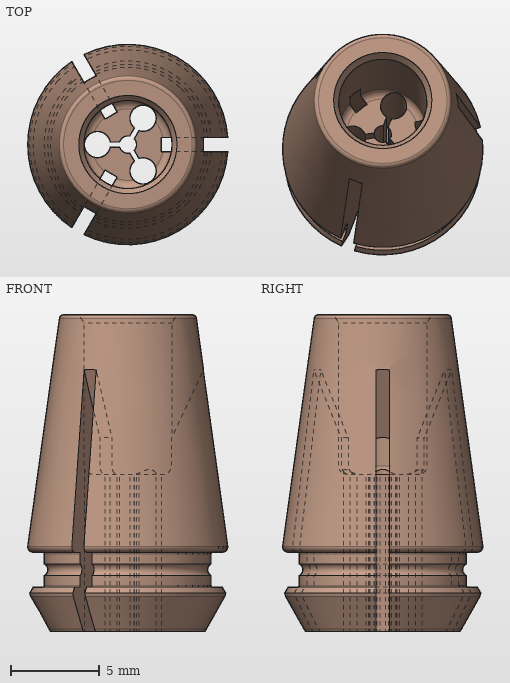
import cadquery as cq
import math

height = 18.0
tip_radius = 4.4
tip_chamfer_radius = 4.48
tip_chamfer_height = 0.15
nose_radius = 5.58
nose_cone_top_radius = 5.53
nose_cone_height = 2.0
nose_height = 2.18
collar_top_radius = 5.38
collar_top = 2.52

neck_radius = 4.75
neck_top = 4.5
neck_corner_fillet = 0.09
groove_width = 0.67
groove_depth = 0.2
groove_center = (collar_top + neck_top) / 2

body_radius = 11.4 / 2
body_edge_fillet = 0.32
taper_start = neck_top + body_edge_fillet
top_radius = 3.87
top_fillet = 0.25

bore_radius = 5.0 / 2
bore_floor = 8.93
bore_floor_fillet = 0.47
mouth_chamfer_width = 0.29
mouth_chamfer_depth = 0.47

segment_count = 3
segment_angle = 360 / segment_count
slot_width = 0.8
slot_inner_radius = 1.9
slot_outer_radius = body_radius + 0.18
slot_top = 14.89
taper_slope = (body_radius - top_radius) / (height - taper_start)
slot_top_radius = top_radius + taper_slope * (height - slot_top)
slot_ramp_angle = 25.0
relief_radius = 1.48 / 2
relief_center_radius = 1.73
slit_width = 0.29
center_hole_radius = 0.49


def around_axis(cutter, start_angle):
    """Copies of a cutter evenly spaced around Z."""
    angles = [start_angle + index * segment_angle for index in range(segment_count)]
    return [cutter.rotate((0, 0, 0), (0, 0, 1), angle) for angle in angles]


def make_body():
    """Outer form, revolved from its half section in XZ."""
    half_groove = groove_width / 2
    body = (
        cq.Workplane("XZ")
        .lineTo(tip_radius, 0)
        .lineTo(tip_chamfer_radius, tip_chamfer_height)
        .lineTo(nose_cone_top_radius, nose_cone_height)
        .lineTo(nose_radius, nose_height)
        .lineTo(collar_top_radius, collar_top)
        .lineTo(neck_radius + neck_corner_fillet, collar_top)
        .radiusArc((neck_radius, collar_top + neck_corner_fillet), neck_corner_fillet)
        .lineTo(neck_radius, groove_center - half_groove)
        .threePointArc(
            (neck_radius - groove_depth, groove_center),
            (neck_radius, groove_center + half_groove),
        )
        .lineTo(neck_radius, neck_top - neck_corner_fillet)
        .radiusArc((neck_radius + neck_corner_fillet, neck_top), neck_corner_fillet)
        .lineTo(body_radius - body_edge_fillet, neck_top)
        .radiusArc((body_radius, taper_start), -body_edge_fillet)
        .lineTo(top_radius, height)
        .lineTo(0, height)
        .close()
        .revolve(360, (0, 0, 0), (0, 1, 0))
    )
    return body.faces(">Z").edges().fillet(top_fillet)


def make_bore():
    """Blind bore with a rounded floor edge and a chamfered mouth."""
    bore_depth = height - bore_floor
    bore = cq.Workplane("XY", origin=(0, 0, bore_floor)).circle(bore_radius).extrude(bore_depth)
    bore = bore.faces("<Z").edges().fillet(bore_floor_fillet)
    mouth = cq.Solid.makeCone(
        bore_radius,
        bore_radius + mouth_chamfer_width,
        mouth_chamfer_depth,
        pnt=(0, 0, height - mouth_chamfer_depth),
    )
    return bore.union(cq.Workplane(mouth))


def make_outer_slot():
    """Slot open at the bottom, with an upper end that slopes down toward the bore."""
    ramp_slope = math.tan(math.radians(slot_ramp_angle))
    ramp_bottom = slot_top - (slot_top_radius - slot_inner_radius) / ramp_slope
    return (
        cq.Workplane("XZ")
        .moveTo(slot_inner_radius, 0)
        .lineTo(slot_outer_radius, 0)
        .lineTo(slot_outer_radius, slot_top)
        .lineTo(slot_top_radius, slot_top)
        .lineTo(slot_inner_radius, ramp_bottom)
        .close()
        .extrude(slot_width / 2, both=True)
    )


def make_relief():
    """Relief hole joined to the axis by a narrow slit."""
    hole_height = bore_floor + bore_floor_fillet
    hole = cq.Workplane("XY").center(relief_center_radius, 0).circle(relief_radius).extrude(hole_height)
    slit = cq.Workplane("XY").box(
        relief_center_radius, slit_width, bore_floor, centered=(False, True, False)
    )
    return hole.union(slit)


center_hole = cq.Workplane("XY").circle(center_hole_radius).extrude(bore_floor)
result = make_body().cut(make_bore()).cut(center_hole)
for cutter in around_axis(make_outer_slot(), 0):
    result = result.cut(cutter)
for cutter in around_axis(make_relief(), segment_angle / 2):
    result = result.cut(cutter)